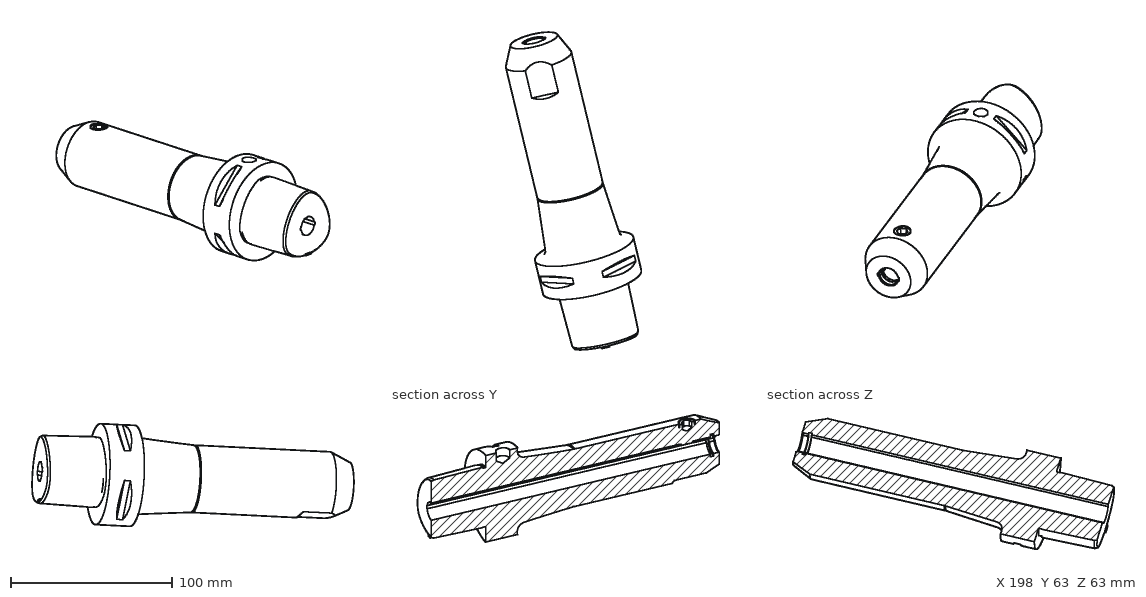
import cadquery as cq
import math

OVERALL_LENGTH = 198.0

NOSE_DIA = 30.0
NOSE_CONE_LENGTH = 12.7
BODY_DIA = 42.0
GROOVE_DIA = 41.5
GROOVE_START = 99.0
GROOVE_WIDTH = 0.8
NECK_END = 133.5
NECK_END_DIA = 47.5

FLANGE_DIA = 63.0
FLANGE_START = 138.0
FLANGE_END = 160.0
FILLET_OUTER_DIA = 56.6

FLAT_HEIGHT = 19.2
FLAT_END = 30.7

BORE_DIA = 12.0
BORE_MOUTH_DIA = 13.0
BORE_MOUTH_DEPTH = 0.8
SEAL_GROOVE_START = 4.2
SEAL_GROOVE_WIDTH = 2.0
SEAL_GROOVE_DIA = 15.8
CHANNEL_DIA = 2.4
CHANNEL_MOUTH_DIA = 3.8
CHANNEL_OFFSET = 5.5

SCREW_X = 22.2
SCREW_DIA = 10.0
SCREW_HOLE_DIA = 10.7
SCREW_TOP = 20.4
SCREW_GAP_DEPTH = 2.0
SCREW_TIP_DIA = 8.1
SCREW_TIP_HEIGHT = 5.0
SOCKET_FLATS = 6.1
SOCKET_DEPTH = 4.0
SOCKET_ANGLE = 10.0
SOCKET_CONE_DEPTH = 1.8

GRIP_X = 148.5
GRIP_FLOOR_WIDTH = 3.8
GRIP_FLOOR_RADIUS = 28.0
GRIP_WALL_ANGLE = 30.0
DIMPLE_X = 148.1
DIMPLE_DIA = 9.0
DIMPLE_TIP_ANGLE = 118.0
DIMPLE_WALL_DEPTH = 6.0

SHANK_MEAN_RADIUS = 22.0
SHANK_LOBE = 3.0
SHANK_TAPER = 1 / 20
SHANK_STRAIGHT = 3.2
SHANK_END_CHAMFER = 1.5
RELIEF_DIA = 45.5
RELIEF_WIDTH = 1.8
RELIEF_STEP = 0.2
CURVE_POINTS = 48

TAB_WIDTH = 5.0
TAB_HEIGHT = 0.8
TAB_PROJECTION = 0.8
TAB_Z = -18.5

SHANK_END = OVERALL_LENGTH - TAB_PROJECTION


def revolve_about_axis(sketch):
    return sketch.close().revolve(360, (0, 0, 0), (1, 0, 0))


def make_body():
    groove_end = GROOVE_START + GROOVE_WIDTH
    profile = (
        cq.Workplane("XY")
        .lineTo(0, NOSE_DIA / 2)
        .lineTo(NOSE_CONE_LENGTH, BODY_DIA / 2)
        .lineTo(GROOVE_START, BODY_DIA / 2)
        .lineTo(GROOVE_START, GROOVE_DIA / 2)
        .lineTo(groove_end, GROOVE_DIA / 2)
        .lineTo(groove_end, BODY_DIA / 2)
        .lineTo(NECK_END, NECK_END_DIA / 2)
        .tangentArcPoint((FLANGE_START, FILLET_OUTER_DIA / 2), relative=False)
        .lineTo(FLANGE_START, FLANGE_DIA / 2)
        .lineTo(FLANGE_END, FLANGE_DIA / 2)
        .lineTo(FLANGE_END, 0)
    )
    body = revolve_about_axis(profile)
    flat_depth = BODY_DIA / 2 - FLAT_HEIGHT
    flat = (
        cq.Workplane("XZ")
        .moveTo(0, -FLAT_HEIGHT)
        .lineTo(FLAT_END, -FLAT_HEIGHT)
        .lineTo(FLAT_END + flat_depth, -BODY_DIA / 2)
        .lineTo(0, -BODY_DIA / 2)
        .close()
        .extrude(BODY_DIA / 2, both=True)
    )
    return body.cut(flat)


def lobe_outline(x, mean_radius):
    """Closed three-lobed wire at x, with one lobe toward +Z."""
    points = []
    for i in range(CURVE_POINTS):
        t = 2 * math.pi * i / CURVE_POINTS
        along = mean_radius * math.cos(t) - SHANK_LOBE * (math.cos(2 * t) - math.cos(4 * t) / 2)
        across = mean_radius * math.sin(t) + SHANK_LOBE * (math.sin(2 * t) + math.sin(4 * t) / 2)
        points.append(cq.Vector(x, across, -along))
    return cq.Wire.assembleEdges([cq.Edge.makeSpline(points, periodic=True)])


def make_shank():
    taper_start = FLANGE_END + SHANK_STRAIGHT
    chamfer_start = SHANK_END - SHANK_END_CHAMFER
    small_radius = SHANK_MEAN_RADIUS - (chamfer_start - taper_start) * SHANK_TAPER / 2
    stations = [
        (FLANGE_END, SHANK_MEAN_RADIUS - RELIEF_STEP),
        (FLANGE_END + RELIEF_WIDTH, SHANK_MEAN_RADIUS - RELIEF_STEP),
        (taper_start, SHANK_MEAN_RADIUS),
        (chamfer_start, small_radius),
        (SHANK_END, small_radius - SHANK_END_CHAMFER / 2),
    ]
    outlines = [lobe_outline(x, radius) for x, radius in stations]
    shank = cq.Workplane(cq.Solid.makeLoft(outlines, True))
    relief = (
        cq.Workplane("YZ", origin=(FLANGE_END, 0, 0))
        .circle(FLANGE_DIA / 2)
        .circle(RELIEF_DIA / 2)
        .extrude(RELIEF_WIDTH)
    )
    return shank.cut(relief)


def make_bore():
    bore_radius = BORE_DIA / 2
    groove_end = SEAL_GROOVE_START + SEAL_GROOVE_WIDTH
    bore = revolve_about_axis(
        cq.Workplane("XY")
        .lineTo(0, BORE_MOUTH_DIA / 2)
        .lineTo(BORE_MOUTH_DEPTH, bore_radius)
        .lineTo(SEAL_GROOVE_START, bore_radius)
        .lineTo(SEAL_GROOVE_START, SEAL_GROOVE_DIA / 2)
        .lineTo(groove_end, SEAL_GROOVE_DIA / 2)
        .lineTo(groove_end, bore_radius)
        .lineTo(OVERALL_LENGTH, bore_radius)
        .lineTo(OVERALL_LENGTH, 0)
    )
    for side in (-1, 1):
        bore = bore.union(make_coolant_channel(side * CHANNEL_OFFSET))
    return bore


def make_coolant_channel(y):
    """Small full-length hole with a conical mouth, breaking into the bore."""
    channel = revolve_about_axis(
        cq.Workplane("XY")
        .lineTo(0, CHANNEL_MOUTH_DIA / 2)
        .lineTo(BORE_MOUTH_DEPTH, CHANNEL_DIA / 2)
        .lineTo(OVERALL_LENGTH, CHANNEL_DIA / 2)
        .lineTo(OVERALL_LENGTH, 0)
    )
    return channel.translate((0, y, 0))


def cylinder_up(x, bottom, top, dia):
    return cq.Workplane("XY", origin=(x, 0, bottom)).circle(dia / 2).extrude(top - bottom)


def cone_down(x, top, dia, depth):
    cone = cq.Solid.makeCone(dia / 2, 0, depth, cq.Vector(x, 0, top), cq.Vector(0, 0, -1))
    return cq.Workplane(cone)


def add_clamping_screw(part):
    surface = BODY_DIA / 2
    hole = cylinder_up(SCREW_X, SCREW_TOP - SCREW_GAP_DEPTH, surface, SCREW_HOLE_DIA)
    head = cylinder_up(SCREW_X, SCREW_TOP - SCREW_GAP_DEPTH, SCREW_TOP, SCREW_DIA)
    tip = cylinder_up(SCREW_X, SCREW_TIP_HEIGHT, SCREW_TOP - SCREW_GAP_DEPTH, SCREW_TIP_DIA)
    socket_floor = SCREW_TOP - SOCKET_DEPTH
    socket = (
        cq.Workplane("XY", origin=(SCREW_X, 0, socket_floor))
        .transformed(rotate=(0, 0, SOCKET_ANGLE))
        .polygon(6, SOCKET_FLATS, circumscribed=True)
        .extrude(SOCKET_DEPTH)
    )
    socket_tip = cone_down(SCREW_X, socket_floor, SOCKET_FLATS, SOCKET_CONE_DEPTH)
    return part.cut(hole).union(head).union(tip).cut(socket).cut(socket_tip)


def make_grip_groove(angle):
    """V-sided tangential groove, turned about X from the +Z direction."""
    depth = FLANGE_DIA / 2 - GRIP_FLOOR_RADIUS
    flare = 2 * depth * math.tan(math.radians(GRIP_WALL_ANGLE))
    groove = (
        cq.Workplane("XZ")
        .moveTo(GRIP_X - GRIP_FLOOR_WIDTH / 2, GRIP_FLOOR_RADIUS)
        .lineTo(GRIP_X + GRIP_FLOOR_WIDTH / 2, GRIP_FLOOR_RADIUS)
        .line(flare / 2, depth)
        .line(-GRIP_FLOOR_WIDTH - flare, 0)
        .close()
        .extrude(FLANGE_DIA / 2, both=True)
    )
    return groove.rotate((0, 0, 0), (1, 0, 0), angle)


def make_dimple():
    floor = FLANGE_DIA / 2 - DIMPLE_WALL_DEPTH
    tip_depth = DIMPLE_DIA / 2 / math.tan(math.radians(DIMPLE_TIP_ANGLE / 2))
    wall = cylinder_up(DIMPLE_X, floor, FLANGE_DIA / 2, DIMPLE_DIA)
    return wall.union(cone_down(DIMPLE_X, floor, DIMPLE_DIA, tip_depth))


def make_tab():
    tab = cq.Workplane("YZ", origin=(SHANK_END, 0, 0)).center(0, TAB_Z)
    return tab.rect(TAB_WIDTH, TAB_HEIGHT).extrude(TAB_PROJECTION)


part = make_body().union(make_shank()).union(make_tab()).cut(make_bore())
part = add_clamping_screw(part)
for groove_angle in (45, 135, 225, 315):
    part = part.cut(make_grip_groove(groove_angle))
result = part.cut(make_dimple())